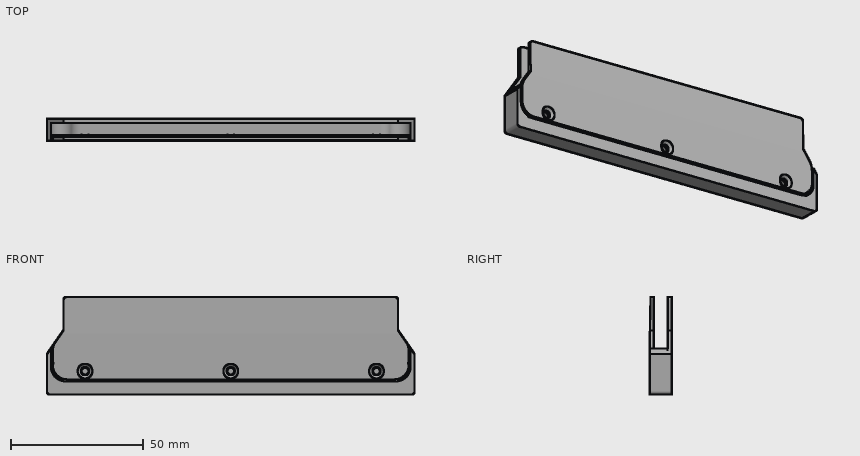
import cadquery as cq
import math

LENGTH = 139.0
DEPTH = 8.3
HEIGHT = 37.0

SHOULDER_Z = 15.3
NECK_Z = 24.3
NECK_HALF = 63.2
EDGE_RADIUS = 1.3

BACK_THICKNESS = 1.5
END_WALL = 1.5
RECESS_DEPTH = 2.2
RECESS_FLOOR_Z = 5.0
RECESS_RADIUS = 5.8

SLOT_FLOOR_Z = 13.9
SLOT_FLOOR_HALF = 56.9
SWELL_RADIUS = 4.0
DIP_RADIUS = 4.3

COVER_THICKNESS = 1.5
COVER_GAP = 0.8
COVER_SHOULDER_RADIUS = 5.5
TAPER_START_Z = 23.1
TAPER_OFFSET = 0.3

SCREW_X = 55.0
SCREW_Z = 8.9
COVER_HOLE = 3.0
HOUSING_HOLE = 2.6
COUNTERSINK = 5.5

HALF_LENGTH = LENGTH / 2
FRONT_Y = -DEPTH / 2
BACK_Y = DEPTH / 2
SLOT_BACK_Y = BACK_Y - BACK_THICKNESS
RECESS_BACK_Y = FRONT_Y + RECESS_DEPTH
RECESS_HALF = HALF_LENGTH - END_WALL
SHOULDER_SLOPE = (NECK_Z - SHOULDER_Z) / (HALF_LENGTH - NECK_HALF)
SCREW_POSITIONS = [-SCREW_X, 0, SCREW_X]


def extrude_along_y(outline, start_y, end_y):
    """Extrude a closed XZ outline from start_y back to end_y."""
    return outline.extrude(-(end_y - start_y)).translate((0, start_y, 0))


def shouldered_plate(half_length, bottom_z, start_y, end_y):
    """Plate with vertical ends, sloped shoulders and a narrower upper part."""
    shoulder_z = SHOULDER_Z + (HALF_LENGTH - half_length) * SHOULDER_SLOPE
    outline = (
        cq.Workplane("XZ")
        .moveTo(-half_length, bottom_z)
        .lineTo(half_length, bottom_z)
        .lineTo(half_length, shoulder_z)
        .lineTo(NECK_HALF, NECK_Z)
        .lineTo(NECK_HALF, HEIGHT)
        .lineTo(-NECK_HALF, HEIGHT)
        .lineTo(-NECK_HALF, NECK_Z)
        .lineTo(-half_length, shoulder_z)
        .close()
    )
    plate = extrude_along_y(outline, start_y, end_y)
    return plate.edges("|Y").edges(">Z").fillet(EDGE_RADIUS)


def screw_cylinder(x, diameter, start_y, end_y):
    """Cylinder along Y at one screw position."""
    outline = cq.Workplane("XZ").center(x, SCREW_Z).circle(diameter / 2)
    return extrude_along_y(outline, start_y, end_y)


def recess_cutter():
    """Round-cornered recess for the cover, open at the top."""
    outline = cq.Workplane("XZ").rect(2 * RECESS_HALF, HEIGHT)
    cutter = extrude_along_y(outline, FRONT_Y, RECESS_BACK_Y)
    cutter = cutter.translate((0, 0, RECESS_FLOOR_Z + HEIGHT / 2))
    return cutter.edges("|Y").edges("<Z").fillet(RECESS_RADIUS)


def slot_cutter():
    """Slot between the plates, with a rounded dip at each end of its floor."""
    dip_x = RECESS_HALF - DIP_RADIUS
    turn = math.asin((dip_x - SLOT_FLOOR_HALF) / (SWELL_RADIUS + DIP_RADIUS))
    bend_x = SLOT_FLOOR_HALF + SWELL_RADIUS * math.sin(turn)
    bend_z = SLOT_FLOOR_Z - SWELL_RADIUS * (1 - math.cos(turn))
    dip_z = bend_z - DIP_RADIUS * (1 - math.cos(turn))
    swell_mid_x = SLOT_FLOOR_HALF + SWELL_RADIUS * math.sin(turn / 2)
    swell_mid_z = SLOT_FLOOR_Z - SWELL_RADIUS * (1 - math.cos(turn / 2))
    half_outline = (
        cq.Workplane("XZ")
        .moveTo(0, SLOT_FLOOR_Z)
        .lineTo(SLOT_FLOOR_HALF, SLOT_FLOOR_Z)
        .threePointArc((swell_mid_x, swell_mid_z), (bend_x, bend_z))
        .threePointArc((dip_x, dip_z), (RECESS_HALF, dip_z + DIP_RADIUS))
        .lineTo(RECESS_HALF, HEIGHT)
        .lineTo(0, HEIGHT)
        .close()
    )
    half_slot = extrude_along_y(half_outline, FRONT_Y, SLOT_BACK_Y)
    return half_slot.union(half_slot.mirror("YZ"))


def make_housing():
    """Back plate and base, hollowed by the slot and the cover recess."""
    housing = shouldered_plate(HALF_LENGTH, 0, FRONT_Y, BACK_Y)
    housing = housing.edges("|Y").edges("<Z").fillet(EDGE_RADIUS)
    housing = housing.cut(recess_cutter()).cut(slot_cutter())
    for x in SCREW_POSITIONS:
        housing = housing.cut(screw_cylinder(x, HOUSING_HOLE, RECESS_BACK_Y, SLOT_BACK_Y))
    return housing


def taper_cutter():
    """Thin wedge that leans the upper front face of the cover back."""
    return (
        cq.Workplane("YZ")
        .moveTo(FRONT_Y, TAPER_START_Z)
        .lineTo(FRONT_Y + TAPER_OFFSET, HEIGHT)
        .lineTo(FRONT_Y, HEIGHT)
        .close()
        .extrude(HALF_LENGTH, both=True)
    )


def countersink_cutter(x):
    """Cone narrowing from the front face of the cover to its screw hole."""
    depth = (COUNTERSINK - COVER_HOLE) / 2
    cone = cq.Solid.makeCone(
        COUNTERSINK / 2, COVER_HOLE / 2, depth, cq.Vector(x, FRONT_Y, SCREW_Z), cq.Vector(0, 1, 0)
    )
    return cq.Workplane(cone)


def make_cover():
    """Front plate that sits in the recess with clearance all round."""
    half_length = RECESS_HALF - COVER_GAP
    bottom_z = RECESS_FLOOR_Z + COVER_GAP
    cover = shouldered_plate(half_length, bottom_z, FRONT_Y, FRONT_Y + COVER_THICKNESS)
    cover = cover.edges("|Y").edges("<Z").fillet(RECESS_RADIUS - COVER_GAP)
    shoulder_edges = cover.edges("|Y").edges("<X or >X").edges(">Z")
    cover = shoulder_edges.fillet(COVER_SHOULDER_RADIUS)
    cover = cover.cut(taper_cutter())
    for x in SCREW_POSITIONS:
        cover = cover.cut(screw_cylinder(x, COVER_HOLE, FRONT_Y, FRONT_Y + COVER_THICKNESS))
        cover = cover.cut(countersink_cutter(x))
    return cover


housing = make_housing()
cover = make_cover()

result = cq.Compound.makeCompound([housing.val(), cover.val()])